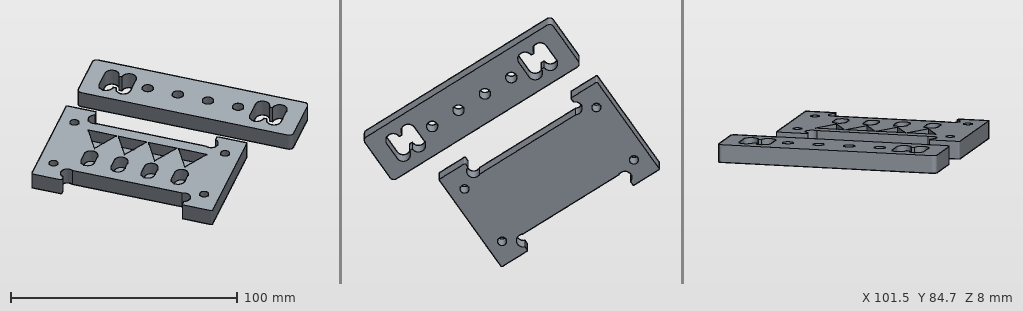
import cadquery as cq
import math

thickness = 8.0
pitch = 14.0
repeat_count = 4
body_gap = 10.7

plate_length = 84.0
plate_width = 50.0
ear_length = 14.0
waist_inset = 7.8
relief_radius = 3.0
ear_corner_radius = 0.5
relief_inset_x = 15.0
relief_inset_y = 5.2
plate_hole_diameter = 4.0
plate_hole_inset_x = 7.0
plate_hole_inset_y = 10.0
pocket_depth = 6.0
triangle_side = 13.2
triangle_base_inset = 13.2
slot_width = 6.2
slot_length = 10.7
slot_inset = 31.9

total_length = 101.5
bar_length = 100.0
bar_width = 24.0
bar_corner_radius = 2.0
bar_hole_diameter = 5.0
window_inset = 15.0
window_square = 8.0
lobe_diameter = 6.5

plate_center = (plate_length / 2, plate_width / 2)
bar_center = (
    total_length - bar_length / 2,
    plate_width + body_gap + bar_width / 2,
)
row_offsets = [(i - (repeat_count - 1) / 2) * pitch for i in range(repeat_count)]


def corner_points(spacing_x, spacing_y):
    """Four points at the corners of a centred rectangle."""
    return [(sx * spacing_x / 2, sy * spacing_y / 2) for sx in (-1, 1) for sy in (-1, 1)]


def centered_block(length, width):
    """Block centred in X and Y, standing on Z = 0."""
    return cq.Workplane("XY").box(length, width, thickness, centered=(True, True, False))


def side_notches():
    """Notches in both long sides, with round reliefs in their corners."""
    notches = (
        cq.Workplane("XY")
        .pushPoints([(0, -plate_width / 2), (0, plate_width / 2)])
        .rect(plate_length - 2 * ear_length, 2 * waist_inset)
        .extrude(thickness)
    )
    reliefs = (
        cq.Workplane("XY")
        .pushPoints(corner_points(plate_length - 2 * relief_inset_x, plate_width - 2 * relief_inset_y))
        .circle(relief_radius)
        .extrude(thickness)
    )
    return notches.union(reliefs)


def triangle_pocket(center_x):
    """Blind equilateral pocket with its tip toward -Y."""
    base_y = plate_width / 2 - triangle_base_inset
    tip_y = base_y - triangle_side * math.sqrt(3) / 2
    outline = [
        (center_x - triangle_side / 2, base_y),
        (center_x + triangle_side / 2, base_y),
        (center_x, tip_y),
    ]
    return (
        cq.Workplane("XY", origin=(0, 0, thickness - pocket_depth))
        .polyline(outline)
        .close()
        .extrude(pocket_depth)
    )


def slot_pocket(center_x):
    """Blind round-ended pocket, long in Y."""
    return (
        cq.Workplane("XY", origin=(0, 0, thickness - pocket_depth))
        .center(center_x, plate_width / 2 - slot_inset)
        .slot2D(slot_length, slot_width, 90)
        .extrude(pocket_depth)
    )


def make_plate():
    """H-shaped plate with corner holes and two rows of blind pockets."""
    plate = centered_block(plate_length, plate_width).cut(side_notches())
    band_depth = ear_corner_radius
    for side in (-1, 1):
        band_center = side * plate_width / 2
        band = cq.selectors.BoxSelector(
            (-plate_length, band_center - band_depth, 0),
            (plate_length, band_center + band_depth, thickness),
        )
        plate = plate.edges("|Z").edges(band).fillet(ear_corner_radius)
    hole_points = corner_points(
        plate_length - 2 * plate_hole_inset_x,
        plate_width - 2 * plate_hole_inset_y,
    )
    plate = plate.faces(">Z").workplane(origin=(0, 0, 0)).pushPoints(hole_points).hole(plate_hole_diameter)
    for offset in row_offsets:
        plate = plate.cut(triangle_pocket(offset)).cut(slot_pocket(offset))
    return plate.translate((*plate_center, 0))


def lobed_window(center_x):
    """Through window made of two round-ended slots joined by a square."""
    slots = (
        cq.Workplane("XY")
        .pushPoints([(center_x - window_square / 2, 0), (center_x + window_square / 2, 0)])
        .slot2D(window_square + lobe_diameter, lobe_diameter, 90)
        .extrude(thickness)
    )
    square = centered_block(window_square, window_square).translate((center_x, 0, 0))
    return slots.union(square)


def make_bar():
    """Rounded bar with a row of holes between two lobed windows."""
    bar = centered_block(bar_length, bar_width).edges("|Z").fillet(bar_corner_radius)
    hole_points = [(offset, 0) for offset in row_offsets]
    bar = bar.faces(">Z").workplane(origin=(0, 0, 0)).pushPoints(hole_points).hole(bar_hole_diameter)
    window_x = bar_length / 2 - window_inset
    for side in (-1, 1):
        bar = bar.cut(lobed_window(side * window_x))
    return bar.translate((*bar_center, 0))


plate = make_plate()
bar = make_bar()
result = cq.Compound.makeCompound([plate.val(), bar.val()])